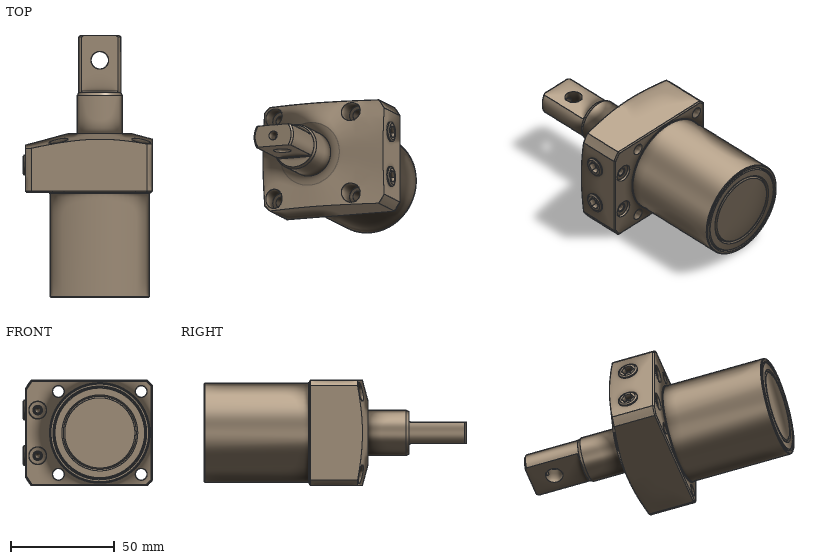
import cadquery as cq
import math


barrel_length = 50.7
barrel_diameter = 48.0
barrel_radius = barrel_diameter / 2
barrel_edge_chamfer = 0.4
collar_radius = 24.3
collar_length = 0.5
cap_radius = 22.1
cap_thickness = 6.3
cap_edge_chamfer = 0.5
groove_outer_radius = 18.3
groove_inner_radius = 17.0
groove_depth = (groove_outer_radius - groove_inner_radius) / 2

block_depth = 28.3
block_height = 51.0
block_left = 35.9
block_right = 25.4
block_corner_chamfer = 2.7
block_corner_radius = 41.7
block_rear_chamfer = 0.6
nose_radius = 15.4
nose_angle = math.radians(15)

bolt_offset = 20.0
bolt_hole_radius = 2.8
bolt_head_radius = 4.5
bolt_head_seat = 15.0

port_spacing = 22.0
port_x = -30.0
port_recess_mouth_radius = 4.3
port_recess_floor_radius = 4.2
port_recess_depth = 1.3
port_mouth_radius = 2.3
port_radius = 1.9
port_depth = 3.8
port_duct_radius = 1.4
port_duct_depth = 10.1
plug_y = 13.2
plug_head_radius = 4.8
plug_head_height = 1.1
plug_rim_height = 0.5
plug_rim_width = 0.9
plug_shank_radius = 3.8
plug_shank_length = 4.3
plug_hex_flats = 5.2
plug_hex_depth = 3.0

neck_diameter = 21.9
neck_radius = neck_diameter / 2
neck_length = 19.9
neck_chamfer_length = 1.5
neck_chamfer_depth = 0.8
rod_seat = 0
tang_length = 27.6
tang_radius = 10.2
tang_thickness = 10.4
tang_end_chamfer = 0.9
flat_bevel_length = 0.8
flat_bevel_height = 0.5
eye_radius = 4.2
eye_from_tip = 12.0
tip_hole_radius = 2.2

port_heights = (-port_spacing / 2, port_spacing / 2)
barrel_end = -barrel_length
neck_end = block_depth + neck_length
rod_tip = neck_end + tang_length


def cylinder_y(radius, start, end, x=0, z=0):
    """Solid cylinder along Y from start to end."""
    axis_start = cq.Vector(x, start, z)
    return cq.Workplane(cq.Solid.makeCylinder(radius, end - start, axis_start, cq.Vector(0, 1, 0)))


def cylinder_x(radius, start, end, y, z):
    """Solid cylinder along X from start to end."""
    axis_start = cq.Vector(start, y, z)
    return cq.Workplane(cq.Solid.makeCylinder(radius, end - start, axis_start, cq.Vector(1, 0, 0)))


def revolved_about_y(points):
    """Solid of revolution about Y from (radius, y) points."""
    return cq.Workplane("XY").polyline(points).close().revolve(360, (0, 0, 0), (0, 1, 0))


def make_block():
    width = block_left + block_right
    block = cq.Workplane("XY").box(width, block_depth, block_height, centered=(False, False, True))
    block = block.translate((-block_left, 0, 0))
    block = block.edges("|Y and >X").chamfer(block_corner_chamfer)
    block = block.intersect(cylinder_y(block_corner_radius, 0, block_depth))
    block = block.faces("<Y").chamfer(block_rear_chamfer)

    cone_drop = (block_corner_radius - nose_radius) * math.tan(nose_angle)
    cone_envelope = revolved_about_y([
        (0, 0),
        (block_corner_radius, 0),
        (block_corner_radius, block_depth - cone_drop),
        (nose_radius, block_depth),
        (0, block_depth),
    ])
    return block.intersect(cone_envelope)


def make_barrel():
    barrel = cylinder_y(barrel_radius, barrel_end, 0).faces("<Y").chamfer(barrel_edge_chamfer)
    return barrel.union(cylinder_y(collar_radius, -collar_length, 0))


def cap_seat():
    """Bore for the end cap, with a chamfered mouth."""
    return revolved_about_y([
        (0, barrel_end),
        (cap_radius + cap_edge_chamfer, barrel_end),
        (cap_radius, barrel_end + cap_edge_chamfer),
        (cap_radius, barrel_end + cap_thickness),
        (0, barrel_end + cap_thickness),
    ])


def bolt_holes():
    holes = cq.Workplane()
    for x in (-bolt_offset, bolt_offset):
        for z in (-bolt_offset, bolt_offset):
            holes = holes.add(cylinder_y(bolt_hole_radius, 0, block_depth, x, z))
            holes = holes.add(cylinder_y(bolt_head_radius, bolt_head_seat, block_depth, x, z))
    return holes.combine()


def port(z):
    """Port cut: a shallow tapered seal recess, a chamfered bore and a narrower duct."""
    step_depth = port_depth + (port_radius - port_duct_radius) / 2
    profile = [
        (0, 0),
        (port_recess_mouth_radius, 0),
        (port_recess_floor_radius, port_recess_depth),
        (port_mouth_radius, port_recess_depth),
        (port_radius, port_recess_depth + port_mouth_radius - port_radius),
        (port_radius, port_depth),
        (port_duct_radius, step_depth),
        (port_duct_radius, port_duct_depth),
        (0, port_duct_depth + port_duct_radius / 2),
    ]
    return revolved_about_y(profile).translate((port_x, 0, z))


def plug_shank(z):
    return cylinder_x(plug_shank_radius, -block_left, -block_left + plug_shank_length, plug_y, z)


def make_housing():
    housing = make_block().cut(bolt_holes()).union(make_barrel())
    housing = housing.cut(cap_seat())
    housing = housing.cut(cylinder_y(neck_radius, rod_seat, block_depth))
    for z in port_heights:
        housing = housing.cut(port(z)).cut(plug_shank(z))
    return housing


def make_end_cap():
    groove_middle = (groove_outer_radius + groove_inner_radius) / 2
    return revolved_about_y([
        (0, barrel_end),
        (groove_inner_radius, barrel_end),
        (groove_middle, barrel_end + groove_depth),
        (groove_outer_radius, barrel_end),
        (cap_radius - cap_edge_chamfer, barrel_end),
        (cap_radius, barrel_end + cap_edge_chamfer),
        (cap_radius, barrel_end + cap_thickness),
        (0, barrel_end + cap_thickness),
    ])


def make_plug(z):
    head_top = -block_left - plug_head_height
    head = cylinder_x(plug_head_radius, head_top, -block_left, plug_y, z)
    head = head.faces("<X").chamfer(plug_rim_height, plug_rim_width)
    hex_corners = plug_hex_flats / math.cos(math.pi / 6)
    socket = cq.Workplane("YZ", origin=(head_top, plug_y, z)).polygon(6, hex_corners).extrude(plug_hex_depth)
    return head.union(plug_shank(z)).cut(socket)


def make_tang():
    tang = cylinder_y(tang_radius, neck_end, rod_tip).faces(">Y").chamfer(tang_end_chamfer)
    half_thickness = tang_thickness / 2
    root_height = half_thickness + flat_bevel_height
    bevel_end = neck_end + flat_bevel_length

    flats = cq.Workplane("YZ").polyline([
        (neck_end, -root_height),
        (bevel_end, -half_thickness),
        (rod_tip, -half_thickness),
        (rod_tip, half_thickness),
        (bevel_end, half_thickness),
        (neck_end, root_height),
    ]).close()
    return tang.intersect(flats.extrude(tang_radius, both=True))


def make_rod():
    neck = revolved_about_y([
        (0, rod_seat),
        (neck_radius, rod_seat),
        (neck_radius, neck_end - neck_chamfer_length),
        (neck_radius - neck_chamfer_depth, neck_end),
        (0, neck_end),
    ])
    eye_y = rod_tip - eye_from_tip
    eye = cq.Workplane("XY", origin=(0, eye_y, 0)).circle(eye_radius).extrude(tang_thickness / 2, both=True)

    tip_hole = cylinder_y(tip_hole_radius, eye_y, rod_tip)
    return neck.union(make_tang()).cut(eye).cut(tip_hole)


housing = make_housing()
end_cap = make_end_cap()
rod = make_rod()
plugs = [make_plug(z).val() for z in port_heights]

result = cq.Compound.makeCompound([housing.val(), end_cap.val(), rod.val(), *plugs])